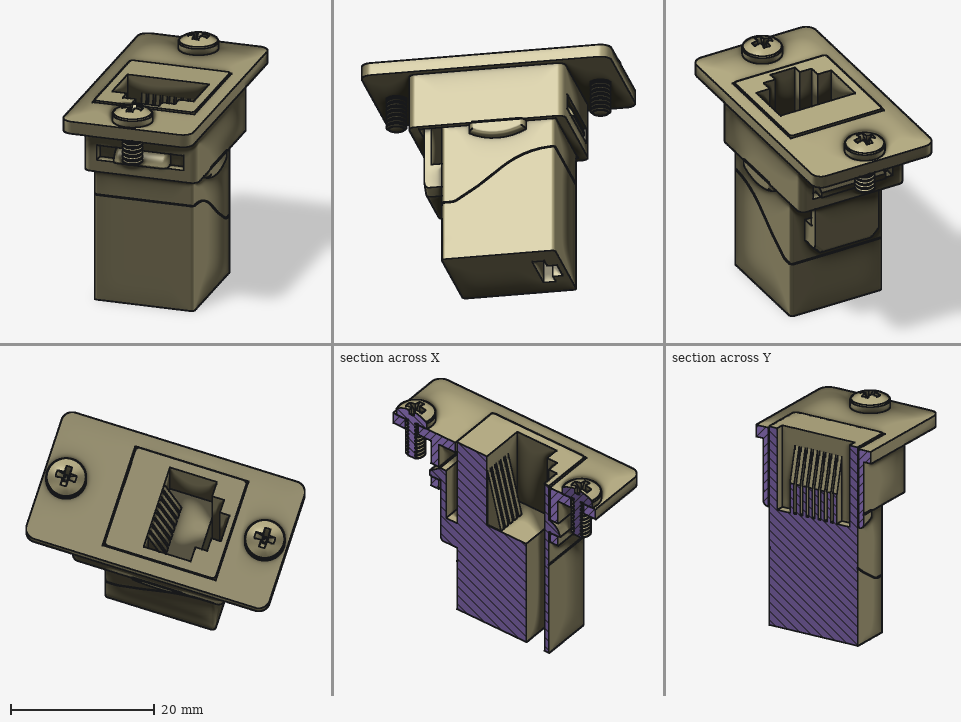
import cadquery as cq
import math


PLATE_WIDTH = 19.05
PLATE_LENGTH = 35.56
PLATE_THICKNESS = 1.83
PLATE_CORNER_RADIUS = 1.57

SKIRT_WIDTH = 16.76
SKIRT_LENGTH = 22.32
SKIRT_CORNER_RADIUS = 1.03
SKIRT_BOTTOM = -9.75

OPENING_WIDTH = 14.96
OPENING_FRONT = -9.76
OPENING_BACK = 6.83

WINDOW_WIDTH = 12.74
WINDOW_TOP = -5.8
WINDOW_BOTTOM = -8.0

TAB_WIDTH = 8.07
TAB_SIDE_BOTTOM = -11.0
TAB_TIP = -12.0
TAB_FILLET = 0.75
TAB_RELIEF_WIDTH = 7.1
TAB_RELIEF_HEIGHT = 0.15
TAB_RELIEF_DEPTH = 0.1

JACK_WIDTH = 14.73
JACK_FRONT = -9.6
JACK_BACK = 6.61
JACK_TOP = 0.23
JACK_BOTTOM = -29.59
JACK_CORNER_RADIUS = 0.53
JACK_CENTER_Y = (JACK_BACK + JACK_FRONT) / 2

PORT_WIDTH = 11.98
PORT_BACK = 1.28
PORT_FRONT = -5.61
PORT_FLOOR = -12.0
KEY_WIDTH = 7.68
KEY_FRONT = -7.35
KEY_TIP_WIDTH = 3.9
KEY_TIP_FRONT = -8.75

CONTACT_COUNT = 8
CONTACT_PITCH = 1.016
CONTACT_WIDTH = 0.68
CONTACT_TOP = -2.37
CONTACT_REACH = 2.38

SEAM_FRONT_Z = -13.8
SEAM_BACK_Z = -20.96
SEAM_FLAT = 1.2
SEAM_MIDDLE_POINTS = [(-2.76, -15.8), (1.5, -18.95), (4.0, -20.5)]
SEAM_HEIGHT = 0.12
SEAM_DEPTH = 0.1

BUMP_WIDTH = 7.94
BUMP_REACH = -11.54
BUMP_ARC_POINT = (-11.16, -6.89)
BUMP_LIP_TOP = -7.75
BUMP_SIDE_FILLET = 0.7

LATCH_WIDTH = 10.2
LATCH_ARM_INNER = 8.47
LATCH_ARM_OUTER = 9.52
LATCH_FOOT_TOP = -14.22
LATCH_FOOT_BOTTOM = -18.66
LATCH_FOOT_FILLET = 0.68
LATCH_FOOT_CHAMFER = 1.0
CATCH_REACH = 11.41
CATCH_LIP_TOP = -7.2

SCREW_SPACING = 29.08
SCREW_LENGTH = 6.35
HEAD_RADIUS = 2.83
HEAD_SIDE_HEIGHT = 0.95
HEAD_RIM_HEIGHT = 1.2
HEAD_RIM_RADIUS = 2.7
HEAD_HEIGHT = 2.07
THREAD_RADIUS = 1.42
THREAD_ROOT_RADIUS = 1.1
THREAD_PITCH = 0.635
THREAD_CREST = THREAD_PITCH / 8
THREAD_ROOT = THREAD_PITCH / 4
RECESS_SPAN = 3.24
RECESS_BOTTOM = 0.3
RECESS_BOTTOM_SPAN = 0.3
RECESS_X_ARM_WIDTH = 0.8
RECESS_Y_ARM_WIDTH = 0.92


def block(width, y_start, y_end, z_start, z_end):
    """Box centred on X = 0 between the given Y and Z limits."""
    return (
        cq.Workplane("XY")
        .box(width, y_end - y_start, z_end - z_start, centered=(True, False, False))
        .translate((0, y_start, z_start))
    )


def extrude_across(side_profile, width):
    """Extrude a closed Y-Z profile symmetrically along X."""
    return side_profile.extrude(width / 2, both=True)


def make_tab(side):
    """Rounded finger tab that hangs below one long side wall of the skirt."""
    half_width = TAB_WIDTH / 2
    outline = (
        cq.Workplane("YZ")
        .moveTo(JACK_CENTER_Y - half_width, SKIRT_BOTTOM)
        .lineTo(JACK_CENTER_Y - half_width, TAB_SIDE_BOTTOM)
        .threePointArc(
            (JACK_CENTER_Y, TAB_TIP),
            (JACK_CENTER_Y + half_width, TAB_SIDE_BOTTOM),
        )
        .lineTo(JACK_CENTER_Y + half_width, SKIRT_BOTTOM)
        .close()
    )
    thickness = (SKIRT_WIDTH - OPENING_WIDTH) / 2
    tab = outline.extrude(thickness)
    outer_rim = tab.faces(">X").edges("not(>Z)")
    tab = outer_rim.fillet(TAB_FILLET).translate((OPENING_WIDTH / 2, 0, 0))
    if side < 0:
        tab = tab.mirror("YZ")
    return tab


def make_tab_relief():
    """Shallow groove in each long side of the skirt, along the root of its tab."""
    y_start = JACK_CENTER_Y - TAB_RELIEF_WIDTH / 2
    y_end = JACK_CENTER_Y + TAB_RELIEF_WIDTH / 2
    z_top = SKIRT_BOTTOM + TAB_RELIEF_HEIGHT
    inner_width = SKIRT_WIDTH - 2 * TAB_RELIEF_DEPTH
    band = block(SKIRT_WIDTH, y_start, y_end, SKIRT_BOTTOM, z_top)
    return band.cut(block(inner_width, y_start, y_end, SKIRT_BOTTOM, z_top))


def make_bezel():
    plate = (
        cq.Workplane("XY")
        .rect(PLATE_WIDTH, PLATE_LENGTH)
        .extrude(-PLATE_THICKNESS)
        .edges("|Z")
        .fillet(PLATE_CORNER_RADIUS)
    )
    skirt = (
        cq.Workplane("XY")
        .workplane(offset=-PLATE_THICKNESS)
        .rect(SKIRT_WIDTH, SKIRT_LENGTH)
        .extrude(SKIRT_BOTTOM + PLATE_THICKNESS)
        .edges("|Z")
        .fillet(SKIRT_CORNER_RADIUS)
    )
    cavity = block(OPENING_WIDTH, OPENING_FRONT, -OPENING_FRONT, SKIRT_BOTTOM, -PLATE_THICKNESS)
    opening = block(OPENING_WIDTH, OPENING_FRONT, OPENING_BACK, SKIRT_BOTTOM, 0)
    windows = block(
        WINDOW_WIDTH, -SKIRT_LENGTH / 2, SKIRT_LENGTH / 2, WINDOW_BOTTOM, WINDOW_TOP
    )
    screw_holes = (
        cq.Workplane("XY")
        .pushPoints([(0, -SCREW_SPACING / 2), (0, SCREW_SPACING / 2)])
        .circle(THREAD_RADIUS)
        .extrude(-PLATE_THICKNESS)
    )
    bezel = plate.union(skirt)
    for side in (-1, 1):
        bezel = bezel.union(make_tab(side))
    for void in (cavity, opening, windows, screw_holes, make_tab_relief()):
        bezel = bezel.cut(void)
    return bezel


def make_port():
    """Plug recess with a floor, plus the stepped key slot open to the bottom."""
    recess = block(PORT_WIDTH, PORT_FRONT, PORT_BACK, PORT_FLOOR, JACK_TOP)
    key = block(KEY_WIDTH, KEY_FRONT, PORT_FRONT, JACK_BOTTOM, JACK_TOP)
    key_tip = block(KEY_TIP_WIDTH, KEY_TIP_FRONT, KEY_FRONT, JACK_BOTTOM, JACK_TOP)
    return recess.union(key).union(key_tip)


def make_contact(index):
    """Sloped contact rib running from the back wall of the port to its floor."""
    x_center = (index - (CONTACT_COUNT - 1) / 2) * CONTACT_PITCH
    profile = cq.Workplane("YZ").polyline([
        (PORT_BACK, CONTACT_TOP),
        (PORT_BACK, PORT_FLOOR),
        (PORT_BACK - CONTACT_REACH, PORT_FLOOR),
    ]).close()
    return extrude_across(profile, CONTACT_WIDTH).translate((x_center, 0, 0))


def make_seam():
    """Shallow S-shaped groove that runs around the outside of the jack."""
    lower_shell_profile = (
        cq.Workplane("YZ")
        .moveTo(JACK_FRONT, SEAM_FRONT_Z)
        .spline(
            [*SEAM_MIDDLE_POINTS, (JACK_BACK - SEAM_FLAT, SEAM_BACK_Z)],
            tangents=[(1, 0), (1, 0)],
            includeCurrent=True,
        )
        .lineTo(JACK_BACK, SEAM_BACK_Z)
        .lineTo(JACK_BACK, JACK_BOTTOM)
        .lineTo(JACK_FRONT, JACK_BOTTOM)
        .close()
    )
    lower_shell = extrude_across(lower_shell_profile, JACK_WIDTH)
    band = lower_shell.cut(lower_shell.translate((0, 0, -SEAM_HEIGHT)))
    core = block(
        JACK_WIDTH - 2 * SEAM_DEPTH,
        JACK_FRONT + SEAM_DEPTH,
        JACK_BACK - SEAM_DEPTH,
        JACK_BOTTOM,
        JACK_TOP,
    )
    return band.cut(core)


def make_bump():
    """Rounded snap bump that rests on the sill of the front window."""
    profile = (
        cq.Workplane("YZ")
        .moveTo(JACK_FRONT, WINDOW_BOTTOM)
        .lineTo(JACK_FRONT, WINDOW_TOP)
        .threePointArc(BUMP_ARC_POINT, (BUMP_REACH, BUMP_LIP_TOP))
        .lineTo(BUMP_REACH, WINDOW_BOTTOM)
        .close()
    )
    bump = extrude_across(profile, BUMP_WIDTH)
    side_rims = bump.faces("<X or >X").edges("not(<Z or >Y)")
    return side_rims.fillet(BUMP_SIDE_FILLET)


def make_latch():
    """Spring arm on the back of the jack, with a foot and a catch for the rear window."""
    foot = (
        block(LATCH_WIDTH, JACK_BACK, LATCH_ARM_OUTER, LATCH_FOOT_BOTTOM, LATCH_FOOT_TOP)
        .edges("<Z and (<X or >X)")
        .chamfer(LATCH_FOOT_CHAMFER)
    )
    lower_rim = foot.faces(">Y").edges("not(|Z or >Z)")
    foot = lower_rim.fillet(LATCH_FOOT_FILLET)
    arm = block(LATCH_WIDTH, LATCH_ARM_INNER, LATCH_ARM_OUTER, LATCH_FOOT_TOP, WINDOW_TOP)
    catch_profile = cq.Workplane("YZ").polyline([
        (LATCH_ARM_OUTER, WINDOW_TOP),
        (CATCH_REACH, CATCH_LIP_TOP),
        (CATCH_REACH, WINDOW_BOTTOM),
        (LATCH_ARM_OUTER, WINDOW_BOTTOM),
    ]).close()
    return foot.union(arm).union(extrude_across(catch_profile, LATCH_WIDTH))


def make_jack():
    body = (
        block(JACK_WIDTH, JACK_FRONT, JACK_BACK, JACK_BOTTOM, JACK_TOP)
        .edges("|Z")
        .fillet(JACK_CORNER_RADIUS)
    )
    jack = body.cut(make_port()).cut(make_seam())
    for index in range(CONTACT_COUNT):
        jack = jack.union(make_contact(index))
    return jack.union(make_bump()).union(make_latch())


def make_recess_arm(plane, width):
    """One pair of opposite arms of the cross recess: a V-shaped cut that narrows toward the bottom."""
    flare = (RECESS_SPAN - RECESS_BOTTOM_SPAN) / 2
    profile = cq.Workplane(plane).polyline([
        (-RECESS_BOTTOM_SPAN / 2, RECESS_BOTTOM),
        (RECESS_BOTTOM_SPAN / 2, RECESS_BOTTOM),
        (RECESS_BOTTOM_SPAN / 2 + flare, HEAD_HEIGHT),
        (-RECESS_BOTTOM_SPAN / 2 - flare, HEAD_HEIGHT),
    ]).close()
    return profile.extrude(width / 2, both=True)


def make_screw(y_center):
    dome_rise = HEAD_HEIGHT - HEAD_RIM_HEIGHT
    dome_radius = (HEAD_RIM_RADIUS**2 + dome_rise**2) / (2 * dome_rise)
    mid_radius = HEAD_RIM_RADIUS / 2
    mid_height = HEAD_HEIGHT - dome_radius + math.sqrt(dome_radius**2 - mid_radius**2)
    outline = (
        cq.Workplane("XZ")
        .moveTo(0, HEAD_HEIGHT)
        .threePointArc((mid_radius, mid_height), (HEAD_RIM_RADIUS, HEAD_RIM_HEIGHT))
        .lineTo(HEAD_RADIUS, HEAD_SIDE_HEIGHT)
        .lineTo(HEAD_RADIUS, 0)
        .lineTo(THREAD_ROOT_RADIUS, 0)
    )
    flank = (THREAD_PITCH - THREAD_CREST - THREAD_ROOT) / 2
    for index in range(round(SCREW_LENGTH / THREAD_PITCH)):
        crest_top = -index * THREAD_PITCH - THREAD_ROOT / 2 - flank
        outline = (
            outline.lineTo(THREAD_ROOT_RADIUS, crest_top + flank)
            .lineTo(THREAD_RADIUS, crest_top)
            .lineTo(THREAD_RADIUS, crest_top - THREAD_CREST)
            .lineTo(THREAD_ROOT_RADIUS, crest_top - THREAD_CREST - flank)
        )
    outline = outline.lineTo(THREAD_ROOT_RADIUS, -SCREW_LENGTH).lineTo(0, -SCREW_LENGTH).close()
    screw = outline.revolve(360, (0, 0, 0), (0, 1, 0))
    screw = screw.cut(make_recess_arm("XZ", RECESS_X_ARM_WIDTH))
    screw = screw.cut(make_recess_arm("YZ", RECESS_Y_ARM_WIDTH))
    return screw.translate((0, y_center, 0))


bezel = make_bezel()
jack = make_jack()
screws = [make_screw(side * SCREW_SPACING / 2) for side in (-1, 1)]

screw_solids = [screw.val() for screw in screws]
result = cq.Compound.makeCompound([bezel.val(), jack.val(), *screw_solids])